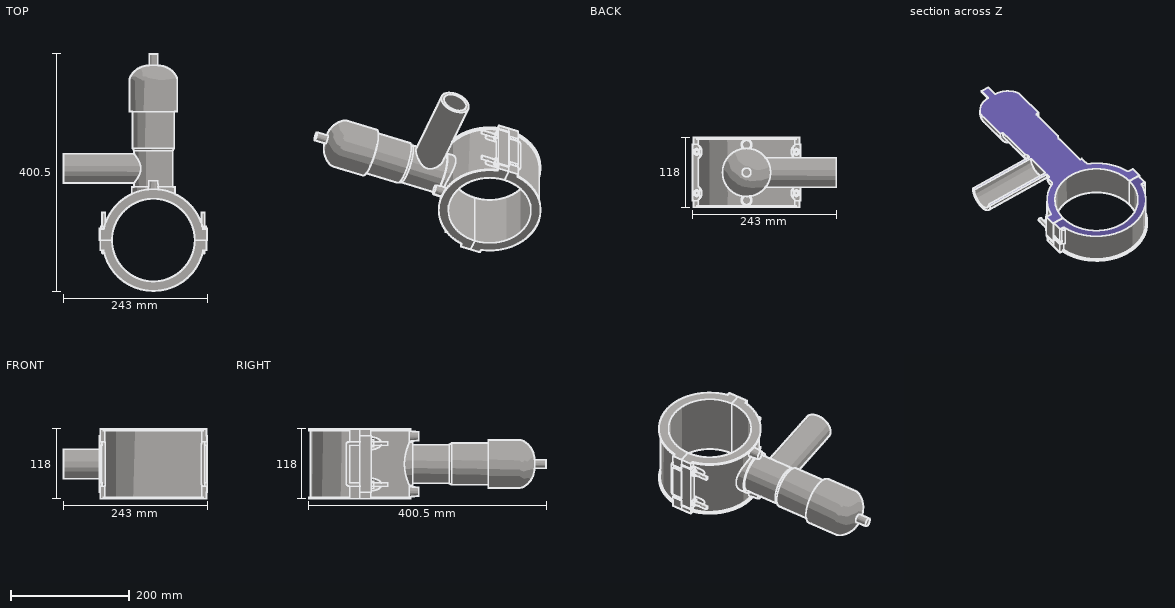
import cadquery as cq
import math

OVERALL_X = 243.0
OVERALL_Y = 400.5

RING_HEIGHT = 118.0
BORE_RADIUS = 69.5
LIP_RADIUS = 86.0
LIP_HEIGHT = 3.0
SHELL_RADIUS = 83.7

FLANGE_REACH = 89.7
UPPER_FLANGE_DEPTH = 18.0
LOWER_FLANGE_DEPTH = 17.2

PLATE_THICKNESS = 1.5
PLATE_HEIGHT = 95.0
PLATE_BACK_Y = UPPER_FLANGE_DEPTH + PLATE_THICKNESS

BOLT_DIAMETER = 6.0
BOLT_X = 84.0
BOLT_Z = 35.0
BOLT_TIP_Y = 47.0
BOLT_BEND_RADIUS = 3.05
NUT_ACROSS_FLATS = 10.0
NUT_HEIGHT = 3.5
NUT_RELIEF_RADIUS = 13.0
NUT_RELIEF_X = 88.0

ROOT_Y = 72.0
COLLAR_DIAMETER = 73.3
COLLAR_END_Y = 89.7
NECK_DIAMETER = 65.5
NECK_END_Y = 150.5
BARREL_DIAMETER = 71.0
BARREL_START_Y = 155.5
CAP_DIAMETER = 81.5
CAP_START_Y = 216.5
CAP_SIDE_END_Y = 269.5
KNUCKLE_RADIUS = 14.5
KNUCKLE_ANGLE = 29
SPINDLE_DIAMETER = 15.0
SPINDLE_END_Y = OVERALL_Y - LIP_RADIUS

BRANCH_DIAMETER = 50.0
BRANCH_BORE = 40.0
BRANCH_Y = 121.0
BRANCH_END_X = OVERALL_X - FLANGE_REACH - PLATE_THICKNESS
BRANCH_BORE_DEPTH = BRANCH_END_X - NECK_DIAMETER / 2

STUD_TIP_DIAMETER = 15.0
STUD_ROOT_DIAMETER = 19.5
STUD_Z = 47.0
STUD_END_Y = 99.7

SIDES = (-1, 1)


def cylinder_y(diameter, x, z, y_start, y_end):
    """Round bar parallel to Y."""
    axis = cq.Vector(0, 1, 0)
    bar = cq.Solid.makeCylinder(diameter / 2, y_end - y_start, cq.Vector(x, y_start, z), axis)
    return cq.Workplane(bar)


def box_between(x_range, y_range, height):
    """Box spanning the two ranges, centred on Z = 0."""
    width = abs(x_range[1] - x_range[0])
    depth = abs(y_range[1] - y_range[0])
    return cq.Workplane("XY").box(width, depth, height).translate((sum(x_range) / 2, sum(y_range) / 2, 0))


def half_shell(y_side, flange_depth):
    """Half of the lipped ring on one side of Y = 0, with its two flanges."""
    base = cq.Workplane("XY").workplane(offset=-RING_HEIGHT / 2)
    ring = base.circle(SHELL_RADIUS).extrude(RING_HEIGHT)
    lip_bottom = RING_HEIGHT / 2 - LIP_HEIGHT
    lip = cq.Workplane("XY").workplane(offset=lip_bottom).circle(LIP_RADIUS).extrude(LIP_HEIGHT)
    ring = ring.union(lip).union(lip.mirror("XY"))
    ring = ring.intersect(box_between((-LIP_RADIUS, LIP_RADIUS), (0, y_side * LIP_RADIUS), RING_HEIGHT))
    flanges = box_between((-FLANGE_REACH, FLANGE_REACH), (0, y_side * flange_depth), RING_HEIGHT)
    bore = base.circle(BORE_RADIUS).extrude(RING_HEIGHT)
    return ring.union(flanges).cut(bore)


def point_on_arc(center, radius, degrees):
    """Point at an angle, measured from the first axis, on a circle."""
    angle = math.radians(degrees)
    return (center[0] + radius * math.cos(angle), center[1] + radius * math.sin(angle))


def tee_body():
    """Collar, neck, barrel, domed cap and spindle as one revolved profile."""
    cap_radius = CAP_DIAMETER / 2
    spindle_radius = SPINDLE_DIAMETER / 2
    knuckle_center = (cap_radius - KNUCKLE_RADIUS, CAP_SIDE_END_Y)
    knuckle_middle = point_on_arc(knuckle_center, KNUCKLE_RADIUS, KNUCKLE_ANGLE / 2)
    knuckle_end = point_on_arc(knuckle_center, KNUCKLE_RADIUS, KNUCKLE_ANGLE)
    knuckle_turn = math.radians(KNUCKLE_ANGLE)
    crown_radius = (knuckle_end[0] - spindle_radius) / math.cos(knuckle_turn)
    crown_center = (spindle_radius, knuckle_end[1] - crown_radius * math.sin(knuckle_turn))
    crown_middle = point_on_arc(crown_center, crown_radius, (KNUCKLE_ANGLE + 90) / 2)
    crown_top = (spindle_radius, crown_center[1] + crown_radius)
    profile = (
        cq.Workplane("XY")
        .moveTo(0, ROOT_Y)
        .lineTo(COLLAR_DIAMETER / 2, ROOT_Y)
        .lineTo(COLLAR_DIAMETER / 2, COLLAR_END_Y)
        .lineTo(NECK_DIAMETER / 2, COLLAR_END_Y)
        .lineTo(NECK_DIAMETER / 2, NECK_END_Y)
        .lineTo(BARREL_DIAMETER / 2, BARREL_START_Y)
        .lineTo(BARREL_DIAMETER / 2, CAP_START_Y)
        .lineTo(cap_radius, CAP_START_Y)
        .lineTo(cap_radius, CAP_SIDE_END_Y)
        .threePointArc(knuckle_middle, knuckle_end)
        .threePointArc(crown_middle, crown_top)
        .lineTo(spindle_radius, SPINDLE_END_Y)
        .lineTo(0, SPINDLE_END_Y)
        .close()
    )
    return profile.revolve(360, (0, 0, 0), (0, 1, 0))


def add_branch(body):
    """Side pipe with a blind bore that stops at the neck."""
    pipe_end = cq.Workplane("YZ", origin=(-BRANCH_END_X, BRANCH_Y, 0))
    pipe = pipe_end.circle(BRANCH_DIAMETER / 2).extrude(BRANCH_END_X)
    bore = pipe_end.circle(BRANCH_BORE / 2).extrude(BRANCH_BORE_DEPTH)
    return body.union(pipe).cut(bore)


def stud(z):
    """Round stud that tapers towards its free end."""
    root = cq.Vector(0, ROOT_Y, z)
    length = STUD_END_Y - ROOT_Y
    taper = cq.Solid.makeCone(STUD_ROOT_DIAMETER / 2, STUD_TIP_DIAMETER / 2, length, root, cq.Vector(0, 1, 0))
    return cq.Workplane(taper)


def angle_plate(x_side):
    """Thin plate over the side face and the back face of an upper flange."""
    outer_x = x_side * (FLANGE_REACH + PLATE_THICKNESS)
    side_leg = box_between((x_side * FLANGE_REACH, outer_x), (0, PLATE_BACK_Y), PLATE_HEIGHT)
    inner_x = x_side * (BOLT_X - NUT_ACROSS_FLATS / 2)
    back_leg = box_between((inner_x, outer_x), (UPPER_FLANGE_DEPTH, PLATE_BACK_Y), PLATE_HEIGHT)
    return side_leg.union(back_leg)


def nut(x, z):
    """Hexagon nut on the angle plate, with two flats facing along X."""
    across_corners = NUT_ACROSS_FLATS / math.cos(math.radians(30))
    seat = cq.Workplane("ZX", origin=(x, PLATE_BACK_Y, z))
    return seat.polygon(6, across_corners).extrude(NUT_HEIGHT)


def nut_relief(x_side, z_side):
    """Round clearance cut into the shell wall around a nut."""
    x = x_side * NUT_RELIEF_X
    z = z_side * BOLT_Z
    return cylinder_y(2 * NUT_RELIEF_RADIUS, x, z, UPPER_FLANGE_DEPTH, BOLT_TIP_Y)


def saddle_tee():
    """Upper half shell with the tee, branch, studs, angle plates and nuts."""
    body = half_shell(1, UPPER_FLANGE_DEPTH).union(tee_body())
    body = add_branch(body)
    for z_side in SIDES:
        body = body.union(stud(z_side * STUD_Z))
    for x_side in SIDES:
        for z_side in SIDES:
            body = body.cut(nut_relief(x_side, z_side))
        body = body.union(angle_plate(x_side))
        for z_side in SIDES:
            x = x_side * BOLT_X
            z = z_side * BOLT_Z
            body = body.union(nut(x, z))
            body = body.cut(cylinder_y(BOLT_DIAMETER, x, z, 0, BOLT_TIP_Y))
    return body


def u_bolt(x):
    """Round bar bent into a U: two legs along Y and a base along Z behind the flange."""
    bend_y = -LOWER_FLANGE_DEPTH
    base_y = bend_y - BOLT_BEND_RADIUS
    bend_z = BOLT_Z - BOLT_BEND_RADIUS
    base_start = cq.Vector(x, base_y, -bend_z)
    bolt = cq.Workplane(cq.Solid.makeCylinder(BOLT_DIAMETER / 2, 2 * bend_z, base_start))
    for z_side in SIDES:
        leg_section = cq.Workplane("XZ", origin=(x, bend_y, z_side * BOLT_Z)).circle(BOLT_DIAMETER / 2)
        bend_axis_offset = -z_side * BOLT_BEND_RADIUS
        bend = leg_section.revolve(90, (0, bend_axis_offset), (z_side, bend_axis_offset))
        leg = cylinder_y(BOLT_DIAMETER, x, z_side * BOLT_Z, bend_y, BOLT_TIP_Y)
        bolt = bolt.union(bend).union(leg)
    return bolt


def lower_clamp():
    """Lower half shell with side slots that hold the U-bolt legs."""
    body = half_shell(-1, LOWER_FLANGE_DEPTH)
    for x_side in SIDES:
        x = x_side * BOLT_X
        for z_side in SIDES:
            slot = box_between((x, x_side * FLANGE_REACH), (-LOWER_FLANGE_DEPTH, 0), BOLT_DIAMETER)
            body = body.cut(slot.translate((0, 0, z_side * BOLT_Z)))
        body = body.union(u_bolt(x))
    return body


saddle = saddle_tee()
clamp = lower_clamp()
result = cq.Compound.makeCompound([saddle.solids().val(), clamp.solids().val()])